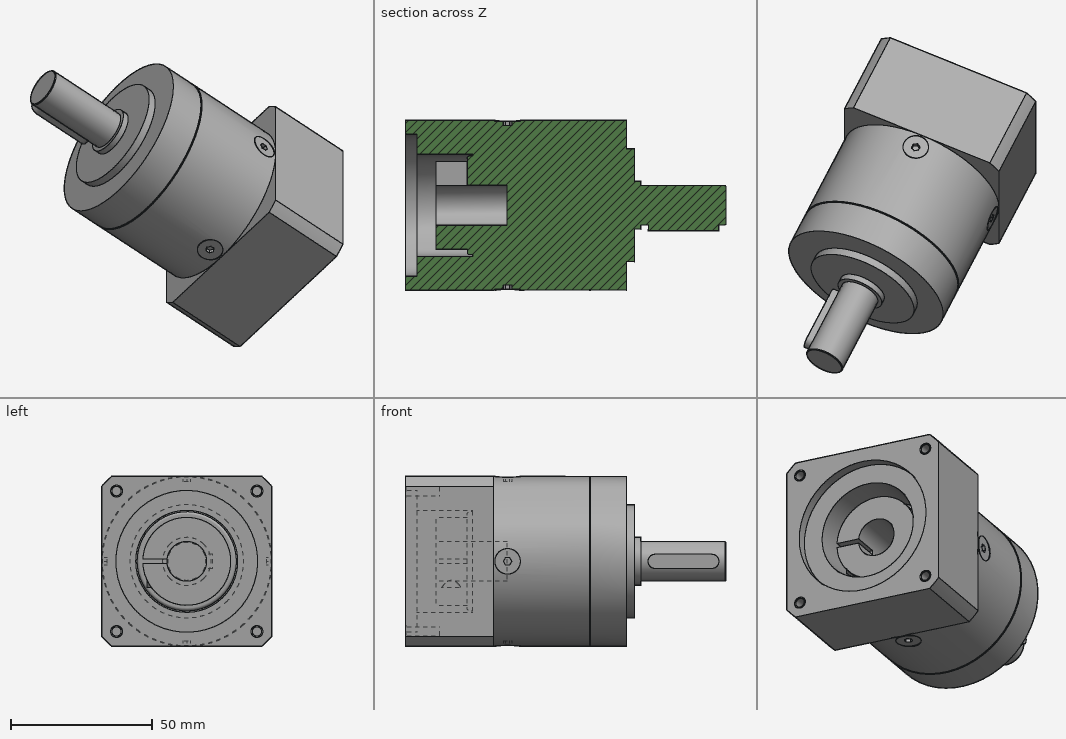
import cadquery as cq
import math

FLANGE_WIDTH = 60.0
FLANGE_LENGTH = 31.0
FLANGE_CORNER_DIAMETER = 80.0
PILOT_RECESS_DIAMETER = 50.0
PILOT_RECESS_DEPTH = 4.0
BOLT_CIRCLE_DIAMETER = 70.0
BOLT_CORE_DIAMETER = 3.3
BOLT_CORE_DEPTH = 12.0
BOLT_SPOTFACE_DIAMETER = 4.2
BOLT_SPOTFACE_DEPTH = 0.1

FLANGE_BORE_DIAMETER = 36.0
HUB_FACE_X = 10.7
HUB_NECK_DIAMETER = 31.0
HUB_NECK_LENGTH = 11.0
HUB_COLLAR_X = HUB_FACE_X + HUB_NECK_LENGTH
HUB_COLLAR_DIAMETER = 35.0
HUB_COLLAR_LENGTH = 2.0
HUB_COLLAR_ROUND = 1.0
HUB_BORE_DIAMETER = 14.0
HUB_BORE_DEPTH = 25.0
CLAMP_SLOT_WIDTH = 1.6

CLAMP_SCREW_X = HUB_FACE_X + HUB_NECK_LENGTH / 2
CLAMP_SCREW_Y = 9.5
CLAMP_HEAD_DIAMETER = 9.0
CLAMP_HEAD_HEIGHT = 5.0
CLAMP_HEAD_Z = -9.3

HOUSING_DIAMETER = 60.0
HOUSING_END_X = 78.0
GROOVE_DIAMETER = 59.6
GROOVE_WIDTH = 0.4
GROOVE_END_X = 65.2

PLUG_COUNT = 4
PLUG_DIAMETER = 9.0
PLUG_SETBACK = 5.0
PLUG_X = FLANGE_LENGTH + PLUG_SETBACK
PLUG_FLAT_RADIUS = math.sqrt(HOUSING_DIAMETER ** 2 - PLUG_DIAMETER ** 2) / 2
SOCKET_CORNER_DIAMETER = 3.0
SOCKET_SIDES = 6
SOCKET_DEPTH = 1.5

OUTPUT_PILOT_DIAMETER = 40.0
OUTPUT_PILOT_END_X = 80.8
SHOULDER_DIAMETER = 17.0
SHOULDER_END_X = 83.0
SHAFT_DIAMETER = 14.0
SHAFT_END_X = 113.0
SHAFT_CHAMFER = 0.3
KEY_WIDTH = 5.0
KEY_HEIGHT = 5.0
KEY_LENGTH = 25.0
KEY_START_X = 85.5
KEY_TOP_RADIUS = 9.0


def cylinder(start_x, end_x, diameter):
    """Cylinder on the X axis between two X positions."""
    return cq.Workplane("YZ", origin=(start_x, 0, 0)).circle(diameter / 2).extrude(end_x - start_x)


def flange():
    """Square block whose corners are turned to a common diameter."""
    block = cq.Workplane("YZ").rect(FLANGE_WIDTH, FLANGE_WIDTH).extrude(FLANGE_LENGTH)
    return block.intersect(cylinder(0, FLANGE_LENGTH, FLANGE_CORNER_DIAMETER))


def bolt_holes():
    """Four blind holes on the bolt circle, each with a very shallow spotface."""
    pitch = BOLT_CIRCLE_DIAMETER / math.sqrt(2)
    pattern = cq.Workplane("YZ").rect(pitch, pitch, forConstruction=True).vertices()
    cores = pattern.circle(BOLT_CORE_DIAMETER / 2).extrude(BOLT_CORE_DEPTH)
    spotfaces = pattern.circle(BOLT_SPOTFACE_DIAMETER / 2).extrude(BOLT_SPOTFACE_DEPTH)
    return cores.union(spotfaces)


def hub_cavity():
    """Annular space between the flange bore and the hub, reaching past the collar."""
    return cylinder(0, HUB_COLLAR_X + HUB_COLLAR_LENGTH, FLANGE_BORE_DIAMETER)


def clamping_hub():
    """Neck and rounded collar, the neck slotted on the +Y side."""
    collar = cylinder(HUB_COLLAR_X, HUB_COLLAR_X + HUB_COLLAR_LENGTH, HUB_COLLAR_DIAMETER)
    collar = collar.faces("<X").edges().fillet(HUB_COLLAR_ROUND)
    neck = cylinder(HUB_FACE_X, HUB_COLLAR_X, HUB_NECK_DIAMETER)
    slot = cq.Workplane("XY", origin=(HUB_FACE_X, 0, 0)).box(
        HUB_NECK_LENGTH, HUB_NECK_DIAMETER / 2, CLAMP_SLOT_WIDTH, centered=(False, False, True)
    )
    return neck.cut(slot).union(collar)


def clamp_screw_head():
    head = cq.Workplane("XY", origin=(CLAMP_SCREW_X, CLAMP_SCREW_Y, CLAMP_HEAD_Z))
    return head.circle(CLAMP_HEAD_DIAMETER / 2).extrude(CLAMP_HEAD_HEIGHT)


def motor_shaft_bore():
    return cylinder(HUB_FACE_X, HUB_FACE_X + HUB_BORE_DEPTH, HUB_BORE_DIAMETER)


def parting_groove():
    start_x = GROOVE_END_X - GROOVE_WIDTH
    ring = cylinder(start_x, GROOVE_END_X, HOUSING_DIAMETER)
    return ring.cut(cylinder(start_x, GROOVE_END_X, GROOVE_DIAMETER))


def plug_recess(angle):
    """Material removed to form one plug: a shallow round flat and its hexagon socket."""
    flat_plane = cq.Workplane("XY", origin=(PLUG_X, 0, PLUG_FLAT_RADIUS))
    flat = flat_plane.circle(PLUG_DIAMETER / 2).extrude(HOUSING_DIAMETER / 2 - PLUG_FLAT_RADIUS)
    socket = flat_plane.polygon(SOCKET_SIDES, SOCKET_CORNER_DIAMETER).extrude(-SOCKET_DEPTH)
    return flat.union(socket).rotate((0, 0, 0), (1, 0, 0), angle)


def output_shaft():
    shaft = cylinder(SHOULDER_END_X, SHAFT_END_X, SHAFT_DIAMETER)
    return shaft.faces(">X").edges().chamfer(SHAFT_CHAMFER)


def feather_key():
    """Round-ended key standing out of the shaft on the -Y side."""
    key = cq.Workplane("XZ", origin=(KEY_START_X + KEY_LENGTH / 2, -KEY_TOP_RADIUS, 0))
    return key.slot2D(KEY_LENGTH, KEY_WIDTH).extrude(-KEY_HEIGHT)


result = flange()
result = result.union(cylinder(FLANGE_LENGTH, HOUSING_END_X, HOUSING_DIAMETER))
result = result.union(cylinder(HOUSING_END_X, OUTPUT_PILOT_END_X, OUTPUT_PILOT_DIAMETER))
result = result.union(cylinder(OUTPUT_PILOT_END_X, SHOULDER_END_X, SHOULDER_DIAMETER))
result = result.union(output_shaft())
result = result.union(feather_key())

result = result.cut(parting_groove())
for plug in range(PLUG_COUNT):
    result = result.cut(plug_recess(plug * 360 / PLUG_COUNT))

result = result.cut(bolt_holes())
result = result.cut(cylinder(0, PILOT_RECESS_DEPTH, PILOT_RECESS_DIAMETER))
result = result.cut(hub_cavity())
result = result.union(clamping_hub())
result = result.union(clamp_screw_head())
result = result.cut(motor_shaft_bore())